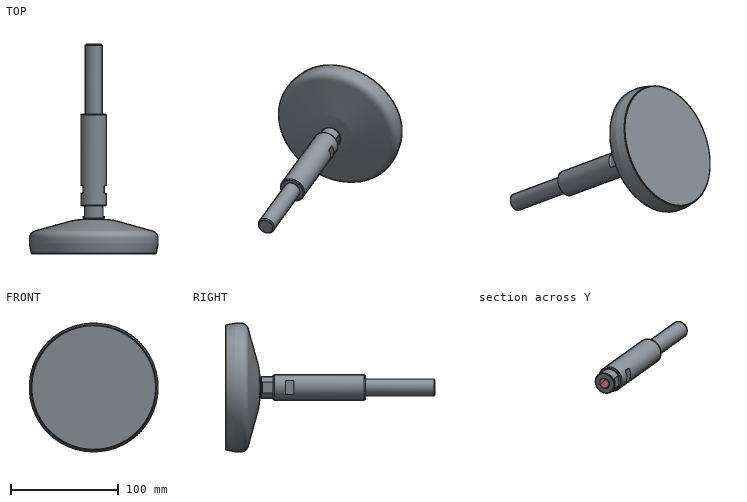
import cadquery as cq
import math

total_length = 195.0

foot_radius = 120.0 / 2
base_radius = 58.3
base_face_radius = 57.5
base_edge_height = 0.5
rim_bottom = 9.4
rim_top = 14.2
cone_angle = math.radians(15.5)
shoulder_radius = 7.5
crown_radius = 40.0
foot_height = 32.0

neck_radius = 10.0 / 2
collar_radius = 20.0 / 2
collar_bottom = 33.0
collar_chamfer = 0.5
collar_flat_width = 17.4
collar_flat_bottom = 34.7

sleeve_radius = 24.0 / 2
sleeve_bottom = 44.5
sleeve_top = 130.0
sleeve_chamfer = 1.0
slot_flat_width = 20.0
slot_center = 59.9
slot_floor_fillet = 1.2
slot_length = 7.8

stud_radius = 16.0 / 2
stud_chamfer = 1.2


def turned_section(radius, bottom, top, bottom_chamfer=0.0, top_chamfer=0.0):
    """Cylinder along Y from bottom to top, with optional end chamfers."""
    length = top - bottom
    section = cq.Workplane("XZ", origin=(0, bottom, 0)).circle(radius).extrude(-length)
    if bottom_chamfer:
        section = section.faces("<Y").chamfer(bottom_chamfer)
    if top_chamfer:
        section = section.faces(">Y").chamfer(top_chamfer)
    return section


def make_foot():
    """Conical plate with a rounded shoulder, a domed crown and a tapered rim."""
    shoulder_center_x = foot_radius - shoulder_radius
    crown_center_y = foot_height - crown_radius

    def shoulder_point(angle):
        return (
            shoulder_center_x + shoulder_radius * math.sin(angle),
            rim_top + shoulder_radius * math.cos(angle),
        )

    cone_bottom = shoulder_point(cone_angle)
    shoulder_middle = shoulder_point((cone_angle + math.pi / 2) / 2)

    crown_edge_y = crown_center_y + crown_radius * math.cos(cone_angle)
    crown_edge_x = cone_bottom[0] - (crown_edge_y - cone_bottom[1]) / math.tan(cone_angle)
    crown_center_x = crown_edge_x - crown_radius * math.sin(cone_angle)
    crown_middle = (
        crown_center_x + crown_radius * math.sin(cone_angle / 2),
        crown_center_y + crown_radius * math.cos(cone_angle / 2),
    )
    return (
        cq.Workplane("XY")
        .lineTo(base_face_radius, 0)
        .lineTo(base_radius, base_edge_height)
        .lineTo(foot_radius, rim_bottom)
        .lineTo(foot_radius, rim_top)
        .threePointArc(shoulder_middle, cone_bottom)
        .lineTo(crown_edge_x, crown_edge_y)
        .threePointArc(crown_middle, (crown_center_x, foot_height))
        .lineTo(0, foot_height)
        .close()
        .revolve(360, (0, 0, 0), (0, 1, 0))
    )


def make_collar():
    """Round collar with two flats facing X above a thin chamfered flange."""
    collar = turned_section(collar_radius, collar_bottom, sleeve_bottom, collar_chamfer)
    flat_length = sleeve_bottom - collar_flat_bottom
    flat_center = (sleeve_bottom + collar_flat_bottom) / 2
    for side in (-1, 1):
        cutter = (
            cq.Workplane("XY")
            .box(collar_radius, flat_length, 2 * collar_radius)
            .translate((side * (collar_flat_width + collar_radius) / 2, flat_center, 0))
        )
        collar = collar.cut(cutter)
    return collar


def make_sleeve():
    """Chamfered sleeve with two opposite wrench slots rounded into their floors."""
    sleeve = turned_section(
        sleeve_radius, sleeve_bottom, sleeve_top, sleeve_chamfer, sleeve_chamfer
    )
    for side in (-1, 1):
        cutter = (
            cq.Workplane("XY")
            .box(sleeve_radius, slot_length, 2 * sleeve_radius)
            .faces("<X" if side > 0 else ">X")
            .edges("|Z")
            .fillet(slot_floor_fillet)
            .translate((side * (slot_flat_width + sleeve_radius) / 2, slot_center, 0))
        )
        sleeve = sleeve.cut(cutter)
    return sleeve


neck = turned_section(neck_radius, 0, sleeve_bottom)
stud = turned_section(stud_radius, sleeve_bottom, total_length, top_chamfer=stud_chamfer)

result = make_foot().union(neck).union(make_collar()).union(make_sleeve()).union(stud)